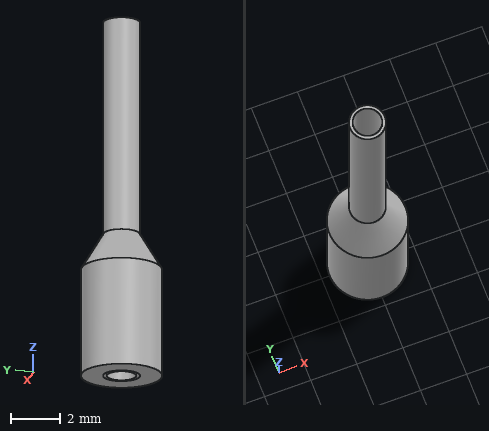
import cadquery as cq

total_length = 15.0
tube_diameter = 1.5
bore_diameter = 1.2
collar_diameter = 3.3
collar_straight_length = 4.5
collar_length = 6.0

tube_radius = tube_diameter / 2
collar_radius = collar_diameter / 2
base_z = -total_length / 2
shoulder_z = base_z + collar_straight_length
collar_top_z = base_z + collar_length


def make_tube():
    """Straight metal tube, open at both ends."""
    return (
        cq.Workplane("XY", origin=(0, 0, base_z))
        .circle(tube_radius)
        .circle(bore_diameter / 2)
        .extrude(total_length)
    )


def make_collar():
    """Insulating collar around the tube, tapering down to the tube's outer wall."""
    return (
        cq.Workplane("XZ")
        .moveTo(tube_radius, base_z)
        .lineTo(collar_radius, base_z)
        .lineTo(collar_radius, shoulder_z)
        .lineTo(tube_radius, collar_top_z)
        .close()
        .revolve(360, (0, 0, 0), (0, 1, 0))
    )


tube = make_tube()
collar = make_collar()

result = cq.Compound.makeCompound([tube.val(), collar.val()])